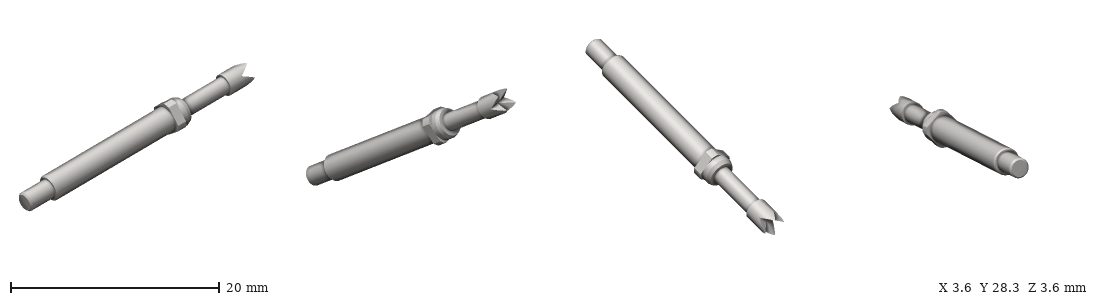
import cadquery as cq
import math


total_length = 28.3

diagonal_angle = 45.0

barrel_diameter = 2.7
barrel_length = 15.0
barrel_bevel_length = 0.17
barrel_bevel_depth = 0.1
tail_diameter = 2.0
tail_length = 3.0
tail_chamfer = 0.17

flange_corner_diameter = 3.6
flange_across_flats = 3.0
flange_thickness = 1.0

collar_diameter = 3.05
collar_length = 1.02
collar_bevel_length = 0.42
collar_bevel_depth = 0.17

plunger_diameter = 1.8
head_diameter = 2.3
head_length = 3.0
groove_angle = 60.0

barrel_end = -barrel_length
tail_end = barrel_end - tail_length
flange_front = flange_thickness
collar_front = flange_front + collar_length
tip = tail_end + total_length
head_back = tip - head_length


def cylinder(diameter, y_start, y_end):
    """Cylinder on the Y axis between two stations."""
    plane = cq.Workplane("XZ", origin=(0, y_end, 0))
    return plane.circle(diameter / 2).extrude(y_end - y_start)


def make_barrel():
    barrel = cylinder(barrel_diameter, barrel_end, 0)
    rear_edge = barrel.faces("<Y").edges()
    return rear_edge.chamfer(barrel_bevel_length, barrel_bevel_depth)


def make_tail():
    tail = cylinder(tail_diameter, tail_end, barrel_end)
    rear_edge = tail.faces("<Y").edges()
    return rear_edge.chamfer(tail_chamfer)


def make_flange():
    plane = cq.Workplane("XZ", origin=(0, flange_front, 0))
    square = (
        plane.transformed(rotate=(0, 0, diagonal_angle))
        .rect(flange_across_flats, flange_across_flats)
        .extrude(flange_thickness)
    )
    return square.intersect(cylinder(flange_corner_diameter, 0, flange_front))


def make_collar():
    collar = cylinder(collar_diameter, flange_front, collar_front)
    front_edge = collar.faces(">Y").edges()
    return front_edge.chamfer(collar_bevel_length, collar_bevel_depth)


def make_crown_head():
    """Head whose end is cut into four points by two crossed V grooves."""
    head = cylinder(head_diameter, head_back, tip)
    half_width = head_diameter / 2 * math.sin(math.radians(diagonal_angle))
    depth = half_width / math.tan(math.radians(groove_angle / 2))
    cutter_scale = 2
    groove_bottom = tip - depth
    cutter_top = groove_bottom + cutter_scale * depth
    cutter_half_width = cutter_scale * half_width
    groove = (
        cq.Workplane("XY")
        .moveTo(0, groove_bottom)
        .lineTo(cutter_half_width, cutter_top)
        .lineTo(-cutter_half_width, cutter_top)
        .close()
        .extrude(head_diameter, both=True)
    )
    for angle in (diagonal_angle, -diagonal_angle):
        head = head.cut(groove.rotate((0, 0, 0), (0, 1, 0), angle))
    return head


plunger = cylinder(plunger_diameter, collar_front, head_back)

result = (
    make_barrel()
    .union(make_tail())
    .union(make_flange())
    .union(make_collar())
    .union(plunger)
    .union(make_crown_head())
)